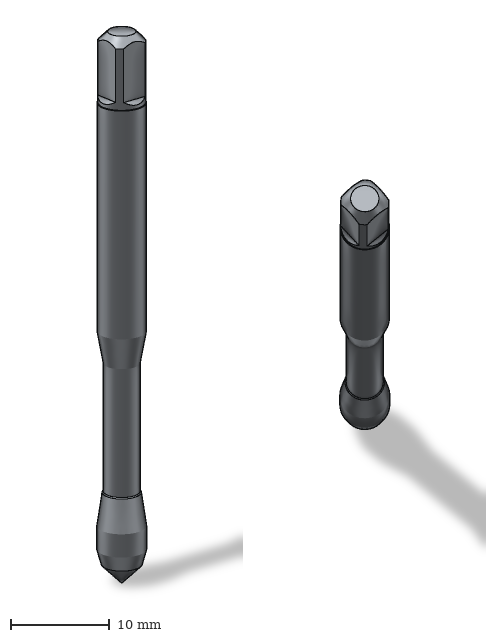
import cadquery as cq

total_length = 59.8

thread_radius = 5.1 / 2
point_radius = 2.1
point_height = point_radius
lead_top = 3.7
thread_top = 6.2
head_neck_radius = 4.0 / 2

neck_radius = 3.75 / 2
shank_radius = 5.0 / 2
back_cone_top = 9.85
neck_bottom = 10.0
neck_top = 23.85
shank_bottom = 27.3
shank_top = 52.1

drive_radius = 4.9 / 2
drive_width = 4.0
drive_flat_bottom = 53.0
drive_top_radius = 1.45
drive_chamfer = drive_radius - drive_top_radius
drive_edge_height = shank_radius - drive_radius
flat_count = 4


def revolve_profile(points):
    """Turn a closed (radius, height) outline about the Z axis."""
    return cq.Workplane("XZ").polyline(points).close().revolve(360, (0, 0), (0, 1))


def make_head():
    """Threaded head: point, lead taper, full-diameter cylinder and back cone."""
    return revolve_profile([
        (0, 0),
        (point_radius, point_height),
        (thread_radius, lead_top),
        (thread_radius, thread_top),
        (head_neck_radius, back_cone_top),
        (neck_radius, neck_bottom),
        (0, neck_bottom),
    ])


def make_flat_cutter():
    """Material beyond the +X flat, with a 45 degree run-out at its foot."""
    flat_offset = drive_width / 2
    cutter_reach = 2 * drive_radius
    runout = cutter_reach - flat_offset
    return (
        cq.Workplane("XZ")
        .moveTo(flat_offset, drive_flat_bottom)
        .lineTo(cutter_reach, drive_flat_bottom - runout)
        .lineTo(cutter_reach, total_length)
        .lineTo(flat_offset, total_length)
        .close()
        .extrude(cutter_reach, both=True)
    )


def make_shank():
    """Neck and shank with a square drive at the top."""
    shank = revolve_profile([
        (0, neck_bottom),
        (neck_radius, neck_bottom),
        (neck_radius, neck_top),
        (shank_radius, shank_bottom),
        (shank_radius, shank_top),
        (drive_radius, shank_top + drive_edge_height),
        (drive_radius, total_length - drive_chamfer),
        (drive_top_radius, total_length),
        (0, total_length),
    ])
    flat_cutter = make_flat_cutter()
    for index in range(flat_count):
        angle = index * 360 / flat_count
        shank = shank.cut(flat_cutter.rotate((0, 0, 0), (0, 0, 1), angle))
    return shank


head = make_head()
shank = make_shank()

result = cq.Compound.makeCompound([head.val(), *shank.vals()])